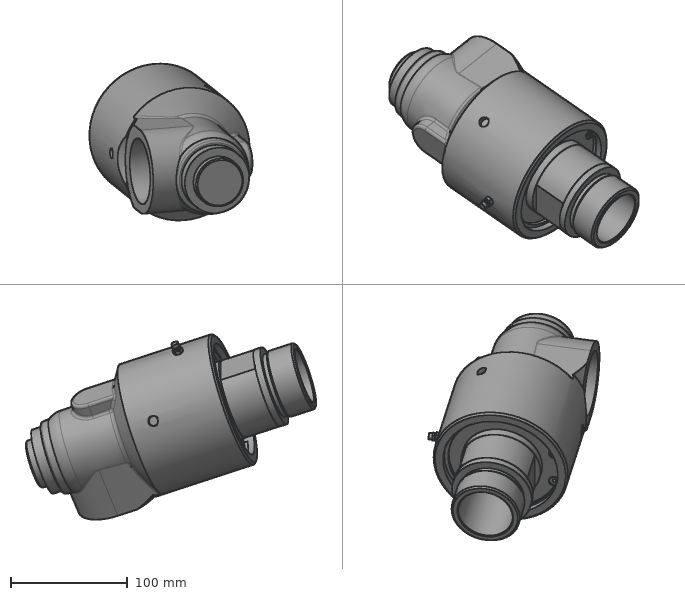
import cadquery as cq
import math

LENGTH = 247.4

OVERLAP = 2.5

THREAD_R = 59.5 / 2
THREAD_END = 24.2
THREAD_CHAMFER = 1.5
RELIEF_R = 28.2
FLANGE_R = 69.5 / 2
FLANGE_START = 28.0
FLANGE_END = 34.1
WAIST_R = 34.6
FLATS_END = 65.8
SHAFT_BORE_R = 47.5 / 2
BORE_CHAMFER = 0.7

BODY_R = 117.5 / 2
BODY_START = 64.5
BODY_END = 149.2
BODY_CHAMFER = 1.7
RECESS_R = 100.2 / 2
RECESS_DEPTH = 5.7
POCKET_R = 48.2
POCKET_SHIFT = 1.5
POCKET_DEPTH = 3.0
RECESS_FLOOR = BODY_START + RECESS_DEPTH + POCKET_DEPTH

NECK_START = 163.3
NECK_R = 37.3
NECK_END_R = 36.9
SHOULDER_FILLET = 5.0
NECK_END = 210.7
COLLAR_START = 221.9
COLLAR_START_R = 33.1
COLLAR_END = 229.8
COLLAR_END_R = 32.7
COLLAR_FILLET = 1.7
CAP_R = 58.0 / 2
CAP_END = 239.2
TIP_R = 21.3
TIP_CHAMFER = 1.2

PORT_X = 190.5
PORT_R = 36.5
PORT_FACE_Y = -53.5
PORT_FACE_R = 40.5
PORT_BEVEL_ANGLE = 50.0
PORT_BLOCK_END = 154.8
PORT_MOUTH_R = 56.6 / 2
PORT_BORE_R = 55.2 / 2
PORT_TAPER_DEPTH = 17.0
BLOCK_ROOT_FILLET = 2.2

PAD_X = 181.0
PAD_R = 15.8
PAD_TOP_Y = 46.5
PAD_EDGE_FILLET = 2.7
PAD_ROOT_FILLET = 3.0

SIDE_HOLE_X = 127.6
SIDE_HOLE_R = 8.7 / 2
SIDE_HOLE_DEPTH = 5.0
SIDE_HOLE_COUNT = 3
PIN_Y = -45.3
PIN_Z = 15.3
PIN_HOLE_R = 3.2 / 2
PIN_HOLE_DEPTH = 5.0
SPOTFACE_R = 4.7
SPOTFACE_DEPTH = 1.0

NIPPLE_X = 93.5
NIPPLE_TIP_Y = 127.0 - BODY_R
HEX_CORNERS = 8.7
HEX_TOP_Y = 61.8
NIPPLE_NECK_R = 2.7
NIPPLE_COLLAR_R = 3.5
NIPPLE_COLLAR_Y = 63.0
NIPPLE_COLLAR_WIDTH = 1.7
NIPPLE_HEAD_R = 3.0


def x_cylinder(start, end, radius, y=0, z=0):
    """Cylinder along X between two stations."""
    return cq.Workplane("YZ", origin=(start, y, z)).circle(radius).extrude(end - start)


def y_cone(y_start, radius_start, y_end, radius_end):
    """Cone about the port axis between two Y stations."""
    return (
        cq.Workplane("XY")
        .moveTo(PORT_X, y_start)
        .lineTo(PORT_X + radius_start, y_start)
        .lineTo(PORT_X + radius_end, y_end)
        .lineTo(PORT_X, y_end)
        .close()
        .revolve(360, (PORT_X, 0, 0), (PORT_X, 1, 0))
    )


def y_cylinder(x, y_start, y_end, radius):
    """Cylinder along +Y between two stations."""
    return cq.Workplane("XZ", origin=(x, y_start, 0)).circle(radius).extrude(y_start - y_end)


def make_housing():
    """Drum, tapered shoulder, neck, collar and end cap as one turned solid."""
    shoulder_angle = math.atan2(BODY_R - NECK_R, NECK_START - BODY_END)
    trim = SHOULDER_FILLET * math.tan(shoulder_angle / 2)
    fillet_start = (
        NECK_START - trim * math.cos(shoulder_angle),
        NECK_R + trim * math.sin(shoulder_angle),
    )
    return (
        cq.Workplane("XY")
        .moveTo(BODY_START, 0)
        .lineTo(BODY_START, BODY_R - BODY_CHAMFER)
        .lineTo(BODY_START + BODY_CHAMFER, BODY_R)
        .lineTo(BODY_END, BODY_R)
        .lineTo(*fillet_start)
        .tangentArcPoint((NECK_START + trim, NECK_R), relative=False)
        .lineTo(NECK_END, NECK_END_R)
        .tangentArcPoint((COLLAR_START, COLLAR_START_R), relative=False)
        .lineTo(COLLAR_END - COLLAR_FILLET, COLLAR_END_R)
        .tangentArcPoint((COLLAR_END, COLLAR_END_R - COLLAR_FILLET), relative=False)
        .lineTo(COLLAR_END, CAP_R)
        .lineTo(CAP_END, CAP_R)
        .lineTo(CAP_END, TIP_R)
        .lineTo(LENGTH - TIP_CHAMFER, TIP_R)
        .lineTo(LENGTH, TIP_R - TIP_CHAMFER)
        .lineTo(LENGTH, 0)
        .close()
        .revolve(360, (0, 0, 0), (1, 0, 0))
    )


def make_port_block():
    """Flat-sided block with a round end, bevelled around its outer face."""
    reach = -PORT_FACE_Y
    block_start = BODY_END - OVERLAP
    inner_bevel_r = PORT_FACE_R + reach * math.tan(math.radians(PORT_BEVEL_ANGLE))
    block = (
        cq.Workplane("XZ")
        .moveTo(block_start, PORT_R)
        .lineTo(PORT_X, PORT_R)
        .threePointArc((PORT_X + PORT_R, 0), (PORT_X, -PORT_R))
        .lineTo(block_start, -PORT_R)
        .close()
        .extrude(reach)
        .intersect(y_cone(PORT_FACE_Y, PORT_FACE_R, 0, inner_bevel_r))
    )
    drum_extension = x_cylinder(block_start, PORT_BLOCK_END, BODY_R).intersect(
        cq.Workplane("XY").box(LENGTH, BODY_R, 2 * PORT_R).translate((PORT_X, -BODY_R / 2, 0))
    )
    return block.union(drum_extension)


def make_pad():
    """Rounded-end pad standing on the +Y side of the neck."""
    pad_start = BODY_END
    return (
        cq.Workplane("XZ")
        .moveTo(pad_start, PAD_R)
        .lineTo(PAD_X, PAD_R)
        .threePointArc((PAD_X + PAD_R, 0), (PAD_X, -PAD_R))
        .lineTo(pad_start, -PAD_R)
        .close()
        .extrude(-PAD_TOP_Y)
        .faces(">Y")
        .edges("not <X")
        .fillet(PAD_EDGE_FILLET)
    )


def fillet_pad_root(body):
    """Round the foot of the pad; the fillet follows the tangent edges from its straight sides."""
    foot_y = math.sqrt(NECK_R**2 - PAD_R**2)
    reach = PAD_EDGE_FILLET
    foot_box = cq.selectors.BoxSelector(
        (NECK_START, foot_y - reach, -PAD_R - reach), (PAD_X - reach, foot_y + reach, PAD_R + reach)
    )
    return body.edges(foot_box).fillet(PAD_ROOT_FILLET)


def fillet_block_root(body):
    """Round the corners where the block's flat sides meet the tapered shoulder."""
    middle_y = PORT_FACE_Y / 2
    search = BODY_R / 10
    for side in (-1, 1):
        corner_box = cq.selectors.BoxSelector(
            (BODY_END, middle_y - search, side * PORT_R - BLOCK_ROOT_FILLET),
            (NECK_START, middle_y + search, side * PORT_R + BLOCK_ROOT_FILLET),
        )
        body = body.edges(corner_box).fillet(BLOCK_ROOT_FILLET)
    return body


def make_shaft():
    """Threaded nose, relief, flange and hub with two wrench flats."""
    thread = x_cylinder(0, THREAD_END, THREAD_R).edges().chamfer(THREAD_CHAMFER)
    relief = x_cylinder(THREAD_END - THREAD_CHAMFER, FLANGE_START, RELIEF_R)
    flange = x_cylinder(FLANGE_START, FLANGE_END, FLANGE_R)
    waist = x_cylinder(FLANGE_END, FLATS_END, WAIST_R)
    hub = x_cylinder(FLATS_END, RECESS_FLOOR, FLANGE_R)
    flats_length = FLATS_END - FLANGE_END
    for side in (-1, 1):
        flat = (
            cq.Workplane("XY")
            .box(flats_length, FLANGE_R, 2 * FLANGE_R)
            .translate((FLANGE_END + flats_length / 2, side * (THREAD_R + FLANGE_R / 2), 0))
        )
        waist = waist.cut(flat)
    return thread.union(relief).union(flange).union(waist).union(hub)


def make_nipple():
    """Hexagon base, neck, collar and head of the grease nipple."""
    hexagon = (
        cq.Workplane("XZ", origin=(NIPPLE_X, HEX_TOP_Y, 0))
        .polygon(6, HEX_CORNERS)
        .extrude(HEX_TOP_Y - BODY_R + OVERLAP)
    )
    collar_top = NIPPLE_COLLAR_Y + NIPPLE_COLLAR_WIDTH
    neck = y_cylinder(NIPPLE_X, HEX_TOP_Y, NIPPLE_COLLAR_Y, NIPPLE_NECK_R)
    collar = y_cylinder(NIPPLE_X, NIPPLE_COLLAR_Y, collar_top, NIPPLE_COLLAR_R)
    head = y_cylinder(NIPPLE_X, collar_top, NIPPLE_TIP_Y, NIPPLE_HEAD_R)
    return hexagon.union(neck).union(collar).union(head)


def make_recess():
    """Round recess, off-centre pocket below it and two spotfaced pin holes."""
    ledge = BODY_START + RECESS_DEPTH
    spotface_end = RECESS_FLOOR + SPOTFACE_DEPTH
    pocket_limit = x_cylinder(ledge, spotface_end, RECESS_R)
    recess = x_cylinder(BODY_START, ledge, RECESS_R)
    recess = recess.union(x_cylinder(ledge, RECESS_FLOOR, POCKET_R, y=-POCKET_SHIFT))
    for z in (-PIN_Z, PIN_Z):
        spotface = x_cylinder(ledge, spotface_end, SPOTFACE_R, PIN_Y, z).intersect(pocket_limit)
        hole = x_cylinder(ledge, spotface_end + PIN_HOLE_DEPTH, PIN_HOLE_R, PIN_Y, z)
        recess = recess.union(spotface).union(hole)
    return recess


def make_port_bore():
    """Tapered mouth and bore that stop on the cylindrical insert inside the neck."""
    taper_end = PORT_FACE_Y + PORT_TAPER_DEPTH
    mouth = y_cone(PORT_FACE_Y, PORT_MOUTH_R, taper_end, PORT_BORE_R)
    bore = y_cylinder(PORT_X, taper_end, 0, PORT_BORE_R)
    return mouth.union(bore).cut(x_cylinder(BODY_END, LENGTH, CAP_R))


def make_side_holes():
    """Blind radial holes spaced evenly around the drum, the first toward -Y."""
    first = y_cylinder(SIDE_HOLE_X, -BODY_R - OVERLAP, -BODY_R + SIDE_HOLE_DEPTH, SIDE_HOLE_R)
    holes = first
    for index in range(1, SIDE_HOLE_COUNT):
        holes = holes.union(first.rotate((0, 0, 0), (1, 0, 0), index * 360 / SIDE_HOLE_COUNT))
    return holes


def make_shaft_bore():
    """Blind bore through the shaft with a chamfered mouth."""
    bore = x_cylinder(0, RECESS_FLOOR, SHAFT_BORE_R)
    mouth = (
        cq.Workplane("YZ")
        .circle(SHAFT_BORE_R + BORE_CHAMFER)
        .workplane(offset=BORE_CHAMFER)
        .circle(SHAFT_BORE_R)
        .loft()
    )
    return bore.union(mouth)


def make_port_clearance():
    """Cone in front of the port face, opening outward at 45 degrees and trimming the drum."""
    depth = BODY_R + PORT_FACE_Y
    return y_cone(PORT_FACE_Y, PORT_FACE_R, PORT_FACE_Y - depth, PORT_FACE_R + depth)


result = make_housing()
result = result.union(make_pad())
result = fillet_pad_root(result)
result = result.union(make_port_block())
result = fillet_block_root(result)
result = result.cut(make_port_clearance())
result = result.cut(make_recess())
result = result.union(make_shaft())
result = result.union(make_nipple())
result = result.cut(make_port_bore())
result = result.cut(make_shaft_bore())
result = result.cut(make_side_holes())